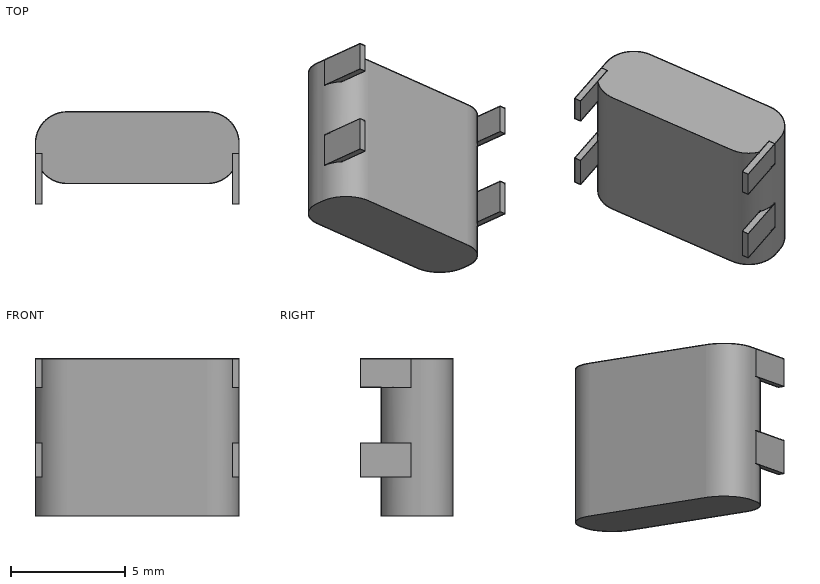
import cadquery as cq

width = 8.94
housing_depth = 3.16
height = 6.9
corner_radius = 1.4

overall_depth = 4.06
terminal_length = 2.23
terminal_thickness = 0.3
upper_terminal_height = 1.25
lower_terminal_height = 1.49
lower_terminal_drop = 3.69

terminal_front_y = housing_depth / 2 - overall_depth
terminal_x = (width - terminal_thickness) / 2


def make_housing_blank():
    """Rounded block before the terminal recesses are cut."""
    block = cq.Workplane("XY").box(width, housing_depth, height, centered=(True, True, False))
    return block.edges("|Z").fillet(corner_radius)


def make_terminal(center_x, top_z, terminal_height):
    """Flat tab whose upper edge lies at top_z."""
    return (
        cq.Workplane("XY")
        .box(terminal_thickness, terminal_length, terminal_height, centered=(True, False, False))
        .translate((center_x, terminal_front_y, top_z - terminal_height))
    )


terminals = []
for side in (-1, 1):
    terminals.append(make_terminal(side * terminal_x, height, upper_terminal_height))
    terminals.append(
        make_terminal(side * terminal_x, height - lower_terminal_drop, lower_terminal_height)
    )

housing = make_housing_blank()
for terminal in terminals:
    housing = housing.cut(terminal)

result = cq.Compound.makeCompound([housing.val(), *[terminal.val() for terminal in terminals]])